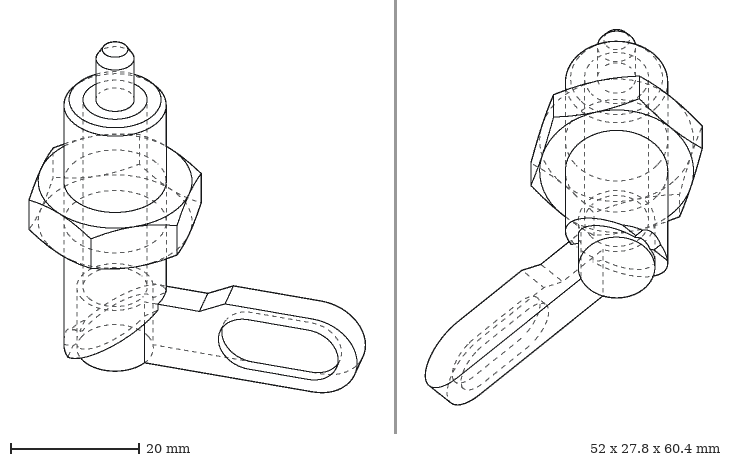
import cadquery as cq
import math

barrel_d = 16.0
barrel_bottom_z = 2.1
barrel_top_z = 50.5
barrel_top_d = 14.4
barrel_chamfer_height = 1.0

cam_start_x = -6.3
cam_angle = 36.5

notch_r = 2.55
notch_height = 0.95

nut_across_flats = 24.05
nut_bottom_z = 26.45
nut_height = 8.0
nut_chamfer_angle = 30
nut_corner_angle = 30

pin_d = 6.0
pin_tip_d = 4.0
pin_tip_height = 1.75
total_height = 60.4
plunger_d = 10.0

hub_d = 11.95
dome_height = 1.6

lever_thickness = 4.85
lever_width = 14.4
lever_reach = 40.0
neck_width = 12.0
neck_end_x = 14.4
shoulder_x = 18.55

recess_length = 19.45
recess_width = 9.7
recess_depth = 1.95
recess_center_x = 27.2

hub_r = hub_d / 2
lever_bottom_z = dome_height
lever_top_z = lever_bottom_z + lever_width
lever_mid_z = lever_bottom_z + lever_width / 2
lever_round_x = lever_reach - lever_width / 2
neck_top_z = lever_bottom_z + neck_width


def disk(diameter, bottom_z, top_z):
    """Cylinder on the Z axis between two heights."""
    return cq.Workplane("XY", origin=(0, 0, bottom_z)).circle(diameter / 2).extrude(top_z - bottom_z)


def make_dome():
    """Spherical cap under the hub, with its tip at the origin."""
    sphere_r = (hub_r**2 + dome_height**2) / (2 * dome_height)
    half_x = hub_r / 2
    half_z = sphere_r - math.sqrt(sphere_r**2 - half_x**2)
    return (
        cq.Workplane("XZ")
        .moveTo(0, 0)
        .threePointArc((half_x, half_z), (hub_r, dome_height))
        .lineTo(0, dome_height)
        .close()
        .revolve(360, (0, 0, 0), (0, 1, 0))
    )


def make_core():
    """Hub and plunger shoulder, which fill the bore of the barrel."""
    hub = disk(hub_d, lever_bottom_z, neck_top_z)
    shoulder = disk(plunger_d, neck_top_z, barrel_top_z)
    return hub.union(shoulder)


def make_pin():
    """Locking pin with a tapered tip."""
    tip_inset = (pin_d - pin_tip_d) / 2
    pin = disk(pin_d, barrel_top_z, total_height)
    return pin.faces(">Z").edges().chamfer(pin_tip_height, tip_inset)


def make_lever_plate():
    """Stepped plate with a round end and a thumb recess on its -Y face."""
    plate = (
        cq.Workplane("XZ")
        .moveTo(0, lever_bottom_z)
        .lineTo(lever_round_x, lever_bottom_z)
        .threePointArc((lever_reach, lever_mid_z), (lever_round_x, lever_top_z))
        .lineTo(shoulder_x, lever_top_z)
        .lineTo(neck_end_x, neck_top_z)
        .lineTo(0, neck_top_z)
        .close()
        .extrude(lever_thickness / 2, both=True)
    )
    recess = (
        cq.Workplane("XZ", origin=(recess_center_x, -lever_thickness / 2, lever_mid_z))
        .slot2D(recess_length, recess_width)
        .extrude(-recess_depth)
    )
    return plate.cut(recess)


def make_plunger_lever():
    """Pin, shoulder, hub and lever, which move together as one body."""
    return make_core().union(make_dome()).union(make_pin()).union(make_lever_plate())


def make_barrel(plunger_lever):
    """Sleeve with a cam face, an end notch and a fitted bore and lever slot."""
    top_inset = (barrel_d - barrel_top_d) / 2
    barrel = disk(barrel_d, barrel_bottom_z, barrel_top_z)
    barrel = barrel.faces(">Z").edges().chamfer(barrel_chamfer_height, top_inset)

    cam_run = barrel_d - cam_start_x
    cam_rise = cam_run * math.tan(math.radians(cam_angle))
    cam_cut = (
        cq.Workplane("XZ")
        .moveTo(cam_start_x, barrel_bottom_z)
        .lineTo(cam_start_x + cam_run, barrel_bottom_z)
        .lineTo(cam_start_x + cam_run, barrel_bottom_z + cam_rise)
        .close()
        .extrude(barrel_d, both=True)
    )

    notch_center_z = barrel_bottom_z + notch_height - notch_r
    notch = cq.Workplane("YZ", origin=(0, 0, notch_center_z)).circle(notch_r).extrude(-barrel_d)

    return barrel.cut(cam_cut).cut(notch).cut(plunger_lever)


def make_nut():
    """Hexagon nut with conical chamfers at both ends and corners along Y."""
    corner_r = nut_across_flats / math.sqrt(3)
    flat_r = nut_across_flats / 2
    chamfer_height = (corner_r - flat_r) * math.tan(math.radians(nut_chamfer_angle))
    hexagon = (
        cq.Workplane("XY", origin=(0, 0, nut_bottom_z))
        .polygon(6, 2 * corner_r)
        .extrude(nut_height)
        .rotate((0, 0, 0), (0, 0, 1), nut_corner_angle)
    )
    envelope = (
        disk(2 * corner_r, nut_bottom_z, nut_bottom_z + nut_height)
        .faces("<Z or >Z")
        .edges()
        .chamfer(chamfer_height, corner_r - flat_r)
    )
    bore = disk(barrel_d, nut_bottom_z, nut_bottom_z + nut_height)
    return hexagon.intersect(envelope).cut(bore)


plunger_lever = make_plunger_lever()
barrel = make_barrel(plunger_lever)
nut = make_nut()

result = cq.Compound.makeCompound([
    barrel.solids().val(),
    nut.solids().val(),
    plunger_lever.solids().val(),
])